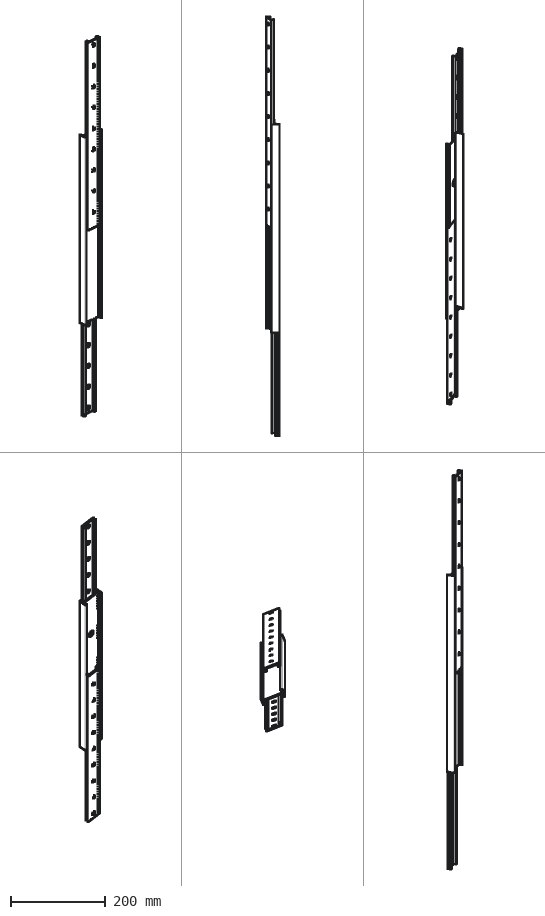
import cadquery as cq

depth = 20.0
width = 50.0
extended_length = 900.0
member_length = extended_length / 2
middle_bottom = extended_length / 4
edge_radius = 1.35

middle_depth = 18.0
web_thickness = 3.0
middle_flange = 4.95
channel_half_width = width / 2 - middle_flange
window_diameter = 15.0
window_height = 562.5

running_gap = 2.0
rail_depth = 8.0
rail_half_width = channel_half_width - running_gap
rail_wall = 3.0
rail_flange = 5.85

ball_radius = 2.5
ball_half_spacing = (rail_half_width + channel_half_width) / 2
ball_offset = depth / 2 - rail_depth / 2

hole_diameter = 5.0
countersink_diameter = 10.0
countersink_angle = 90
hole_count = 9
hole_pitch = member_length / hole_count
first_hole_height = hole_pitch / 4


def box_between(x_min, x_max, half_width, bottom):
    """A block as long as one member and centred on Y."""
    return (
        cq.Workplane("XY", origin=((x_min + x_max) / 2, 0, bottom))
        .rect(x_max - x_min, 2 * half_width)
        .extrude(member_length)
    )


def ball_grooves(x, bottom):
    """Two round bars that cut the ball grooves at both sides of the centre plane."""
    return (
        cq.Workplane("XY", origin=(x, 0, bottom))
        .pushPoints([(0, -ball_half_spacing), (0, ball_half_spacing)])
        .circle(ball_radius)
        .extrude(member_length)
    )


def make_middle_member():
    """H section with a grooved channel for a rail on each side of its web."""
    outer_face = middle_depth / 2
    channel_floor = web_thickness / 2
    body = box_between(-outer_face, outer_face, width / 2, middle_bottom)
    body = body.cut(box_between(-outer_face, -channel_floor, channel_half_width, middle_bottom))
    body = body.cut(box_between(channel_floor, outer_face, channel_half_width, middle_bottom))
    body = body.faces("<X or >X").edges("|Z").fillet(edge_radius)
    for x in (-ball_offset, ball_offset):
        body = body.cut(ball_grooves(x, middle_bottom))
    window = (
        cq.Workplane("YZ")
        .center(0, window_height)
        .circle(window_diameter / 2)
        .extrude(web_thickness, both=True)
    )
    return body.cut(window)


def make_lower_rail():
    """Grooved C section that opens towards +X, with countersunk holes through its floor."""
    outer_face = -depth / 2
    floor = outer_face + rail_wall
    tip = outer_face + rail_depth
    body = box_between(outer_face, tip, rail_half_width, 0)
    body = body.edges("|Z").fillet(edge_radius)
    body = body.cut(box_between(floor, tip, rail_half_width - rail_flange, 0))
    body = body.cut(ball_grooves(-ball_offset, 0))
    hole_points = [(0, first_hole_height + i * hole_pitch) for i in range(hole_count)]
    return (
        body.copyWorkplane(cq.Workplane("YZ", origin=(floor, 0, 0)))
        .pushPoints(hole_points)
        .cskHole(hole_diameter, countersink_diameter, countersink_angle, depth=rail_wall)
    )


middle_member = make_middle_member()
lower_rail = make_lower_rail()

centre_height = extended_length / 2
upper_rail = lower_rail.rotate((0, 0, centre_height), (0, 1, centre_height), 180)

result = cq.Compound.makeCompound([middle_member.val(), lower_rail.val(), upper_rail.val()])